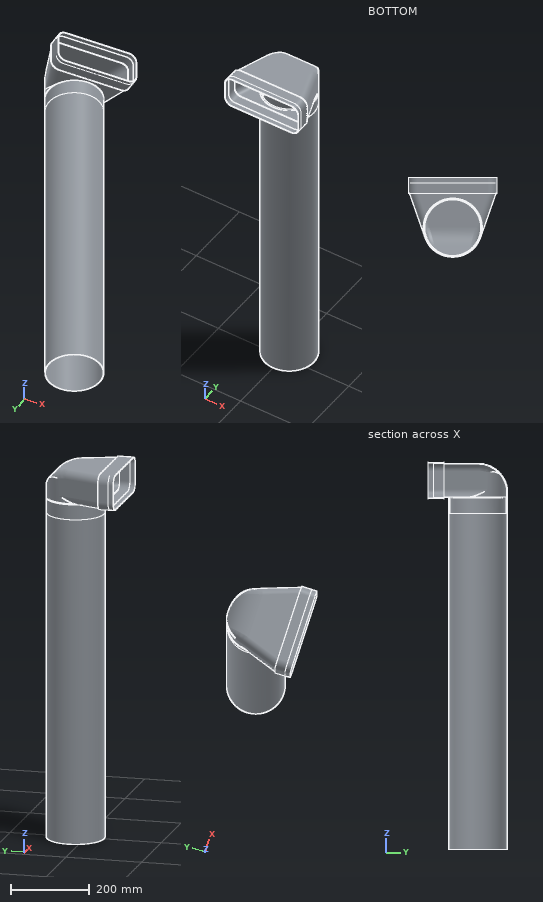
import cadquery as cq
import math

pipe_diameter = 151.6
pipe_bore = 148.0
pipe_length = 900.0

collar_width = 227.0
collar_height = 94.0
collar_depth = 41.0
collar_corner_radius = 23.0
collar_wall = 2.5

elbow_wall = 2.5
elbow_diameter = pipe_diameter
spigot_diameter = pipe_bore
spigot_bore = 143.0
spigot_length = 40.0
mouth_width = collar_width - 2 * collar_wall
mouth_height = collar_height - 2 * collar_wall
mouth_corner_radius = collar_corner_radius - collar_wall
lip_wall = 1.0
lip_setback = 14.0
bend_clearance = 0.5

total_depth = 204.3
collar_front = elbow_diameter / 2 - total_depth
collar_back = collar_front + collar_depth
lip_front = collar_front + lip_setback
elbow_bottom = pipe_length
mouth_middle = elbow_bottom + mouth_height / 2


def rounded_bar(width, height, corner_radius, front, back):
    """Bar along Y with a rounded rectangular section, on the mouth's axis."""
    return (
        cq.Workplane("XZ", origin=(0, front, mouth_middle))
        .rect(width, height)
        .extrude(front - back)
        .edges("|Y")
        .fillet(corner_radius)
    )


def disc(diameter, bottom, top):
    """Upright cylinder on the pipe's axis."""
    return cq.Workplane("XY", origin=(0, 0, bottom)).circle(diameter / 2).extrude(top - bottom)


def bend_shape(inset):
    """Elbow's shape behind the collar, moved inward by the inset."""
    radius = elbow_diameter / 2 - inset
    half_width = mouth_width / 2 - inset
    bottom = elbow_bottom + inset
    top = elbow_bottom + mouth_height - inset
    corner_radius = mouth_corner_radius - inset
    bend_radius = radius + bend_clearance

    corner_distance = math.hypot(half_width, collar_back)
    tangent_angle = math.atan2(collar_back, half_width) + math.acos(radius / corner_distance)
    tangent_x = radius * math.cos(tangent_angle)
    tangent_y = radius * math.sin(tangent_angle)
    wall_slope = (half_width - tangent_x) / (tangent_y - collar_back)
    back_half_width = half_width - (bend_radius - collar_back) * wall_slope

    profile = (
        cq.Workplane("YZ", origin=(-half_width, 0, 0))
        .moveTo(collar_back, bottom)
        .lineTo(collar_back, top)
        .lineTo(0, top)
        .radiusArc((bend_radius, top - bend_radius), bend_radius)
        .lineTo(bend_radius, bottom)
        .close()
        .extrude(2 * half_width)
    )
    taper = (
        cq.Workplane("XY", origin=(0, 0, bottom))
        .moveTo(-half_width, collar_back)
        .lineTo(half_width, collar_back)
        .lineTo(back_half_width, bend_radius)
        .lineTo(-back_half_width, bend_radius)
        .close()
        .extrude(top - bottom)
    )
    round_back = (
        cq.Workplane("XY", origin=(0, 0, bottom))
        .moveTo(-half_width, collar_back)
        .lineTo(half_width, collar_back)
        .lineTo(tangent_x, tangent_y)
        .threePointArc((0, radius), (-tangent_x, tangent_y))
        .close()
        .extrude(top - bottom)
    )

    bend_edges = profile.intersect(taper).edges("%ELLIPSE")
    block = bend_edges.fillet(corner_radius)
    body = block.intersect(round_back)

    lower_edges = block.faces("<Z").edges("(not |X) and (not |Y)")
    lower_corners = block.cut(lower_edges.fillet(corner_radius))
    wall_length = tangent_y - collar_back
    beside_walls = cq.Workplane("XY", origin=(0, collar_back + wall_length / 2, bottom)).box(
        2 * half_width, wall_length, top - bottom, centered=(True, True, False)
    )
    round_part = disc(2 * radius, bottom, top)
    return body.cut(lower_corners.intersect(beside_walls).cut(round_part))


def rounded_tube(width, height, corner_radius, wall, front, back):
    """Rounded rectangular tube along Y, sized by its outside."""
    outside = rounded_bar(width, height, corner_radius, front, back)
    inside = rounded_bar(width - 2 * wall, height - 2 * wall, corner_radius - wall, front, back)
    return outside.cut(inside)


def make_pipe():
    return disc(pipe_diameter, 0, pipe_length).cut(disc(pipe_bore, 0, pipe_length))


def make_elbow():
    """Hollow bend with a spigot inside the pipe and a lip inside the collar."""
    spigot_bottom = elbow_bottom - spigot_length
    spigot = disc(spigot_diameter, spigot_bottom, elbow_bottom)
    bore = disc(spigot_bore, spigot_bottom, elbow_bottom + elbow_wall)
    lip = rounded_tube(mouth_width, mouth_height, mouth_corner_radius, lip_wall, lip_front, collar_back)
    return bend_shape(0).cut(bend_shape(elbow_wall)).union(spigot).cut(bore).union(lip)


def make_collar():
    return rounded_tube(
        collar_width, collar_height, collar_corner_radius, collar_wall, collar_front, collar_back
    )


pipe = make_pipe()
elbow = make_elbow()
collar = make_collar()

result = cq.Compound.makeCompound([body.solids().val() for body in (pipe, elbow, collar)])